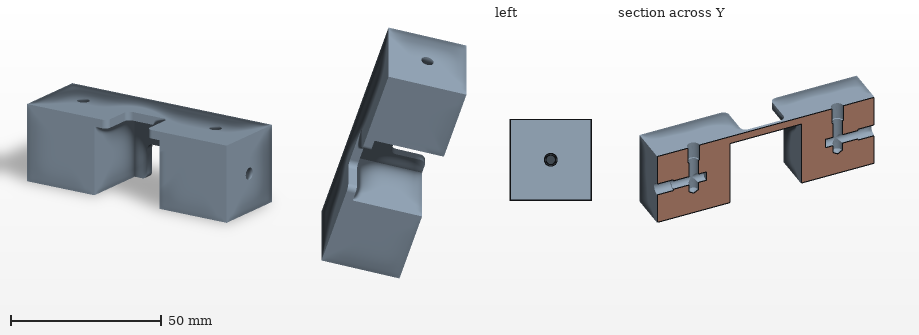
import cadquery as cq
import math

length = 80.0
side = 27.0

recess_width = 26.0
plate_thickness = 3.0

notch_width = 16.0
notch_depth = 12.5
notch_radius = 2.0

mouth_diameter = 4.2
bore_diameter = 3.2
mouth_depth = 6.0
bore_end_depth = 18.0
drill_point_angle = 118.0

top_hole_x = (length - side) / 2


def make_body():
    """Square bar with the recess open to the front and the bottom."""
    bar = cq.Workplane("XY").box(length, side, side)
    recess = (
        cq.Workplane("XY")
        .box(recess_width, side, side)
        .translate((0, -plate_thickness, -plate_thickness))
    )
    return bar.cut(recess)


def make_notch(plane, start_offset):
    """Notch cutter for one plate; the free edge lies towards local -y of the plane.

    The inner corners are rounded and the mouth corners flare outwards.
    """
    half_width = notch_width / 2
    edge = -side / 2
    floor = edge + notch_depth
    radius = notch_radius
    return (
        cq.Workplane(plane)
        .workplane(offset=start_offset)
        .moveTo(-half_width - radius, edge)
        .radiusArc((-half_width, edge + radius), -radius)
        .lineTo(-half_width, floor - radius)
        .radiusArc((-half_width + radius, floor), radius)
        .lineTo(half_width - radius, floor)
        .radiusArc((half_width, floor - radius), radius)
        .lineTo(half_width, edge + radius)
        .radiusArc((half_width + radius, edge), -radius)
        .close()
        .extrude(plate_thickness)
    )


def make_stepped_hole(point_height):
    """Hole cutter with its mouth at the origin, running down -Z.

    A point height of zero gives a flat floor.
    """
    mouth = cq.Workplane("XY").circle(mouth_diameter / 2).extrude(-mouth_depth)
    bore = cq.Workplane("XY").circle(bore_diameter / 2).extrude(-bore_end_depth)
    cutter = mouth.union(bore)
    if point_height > 0:
        point = cq.Solid.makeCone(
            bore_diameter / 2,
            0,
            point_height,
            pnt=cq.Vector(0, 0, -bore_end_depth),
            dir=cq.Vector(0, 0, -1),
        )
        cutter = cutter.union(cq.Workplane(point))
    return cutter


def cut_holes(body):
    """Cut the top and end hole of the block at each end."""
    drill_point_height = bore_diameter / 2 / math.tan(math.radians(drill_point_angle / 2))
    top_cutter = make_stepped_hole(drill_point_height)
    end_cutter = make_stepped_hole(0)
    for direction in (-1, 1):
        top_hole = top_cutter.translate((direction * top_hole_x, 0, side / 2))
        turned_cutter = end_cutter.rotate((0, 0, 0), (0, 1, 0), direction * 90)
        end_hole = turned_cutter.translate((direction * length / 2, 0, 0))
        body = body.cut(top_hole).cut(end_hole)
    return body


top_plate_start = side / 2 - plate_thickness
back_plate_start = -side / 2

body = make_body()
body = body.cut(make_notch("XY", top_plate_start))
body = body.cut(make_notch("XZ", back_plate_start))

result = cut_holes(body)